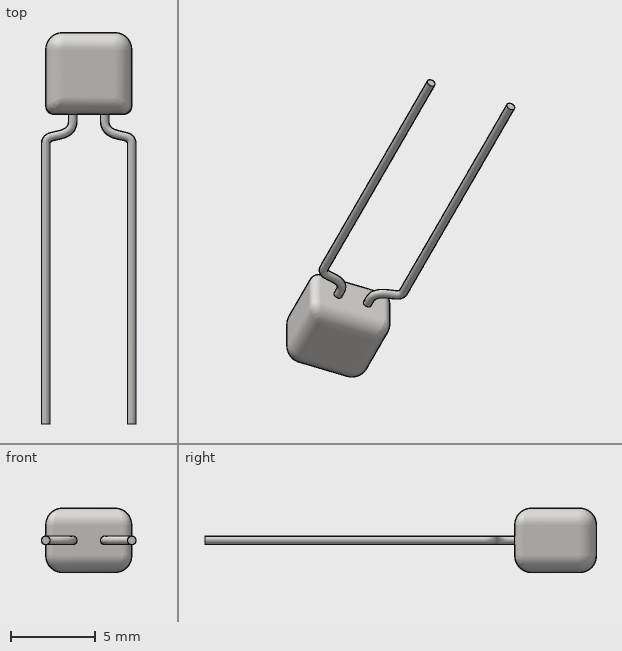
import cadquery as cq

total_length = 23.1
body_width = 5.08
body_length = 4.83
body_height = 3.81

main_radius = 1.0
front_corner_radius = 0.5

lead_diameter = 0.51
lead_pitch = 5.08
exit_pitch = 1.88
exit_length = 0.36
bend_length = 1.37
knee_step = 0.93
knee_drop = 0.88

lead_length = total_length - body_length


def make_body():
    """Rounded block with its front face on Y = 0; its two upright front edges are rounded more tightly."""
    block = cq.Workplane("XY").box(
        body_width, body_length, body_height, centered=(True, False, True)
    )
    block = block.edges("#Z or (|Z and >Y)").fillet(main_radius)

    return block.edges("|Z and <Y").fillet(front_corner_radius)


def make_lead(side):
    """Round wire that leaves the front face, steps outward in an S bend and runs straight along -Y.

    side is -1 for the lead on the -X side and +1 for the lead on the +X side.
    """
    exit_x = side * exit_pitch / 2
    tail_x = side * lead_pitch / 2
    bend_start = (exit_x, -exit_length)
    bend_knee = (side * (exit_pitch / 2 + knee_step), -exit_length - knee_drop)
    bend_end = (tail_x, -exit_length - bend_length)
    along_lead = (0, -1)

    path = (
        cq.Workplane("XY")
        .moveTo(exit_x, 0)
        .lineTo(*bend_start)
        .spline([bend_knee, bend_end], tangents=[along_lead, along_lead], includeCurrent=True)
        .lineTo(tail_x, -lead_length)
    )
    return cq.Workplane("XZ").center(exit_x, 0).circle(lead_diameter / 2).sweep(path)


body = make_body()
leads = [make_lead(side) for side in (-1, 1)]

result = cq.Compound.makeCompound([body.val(), *[lead.val() for lead in leads]])